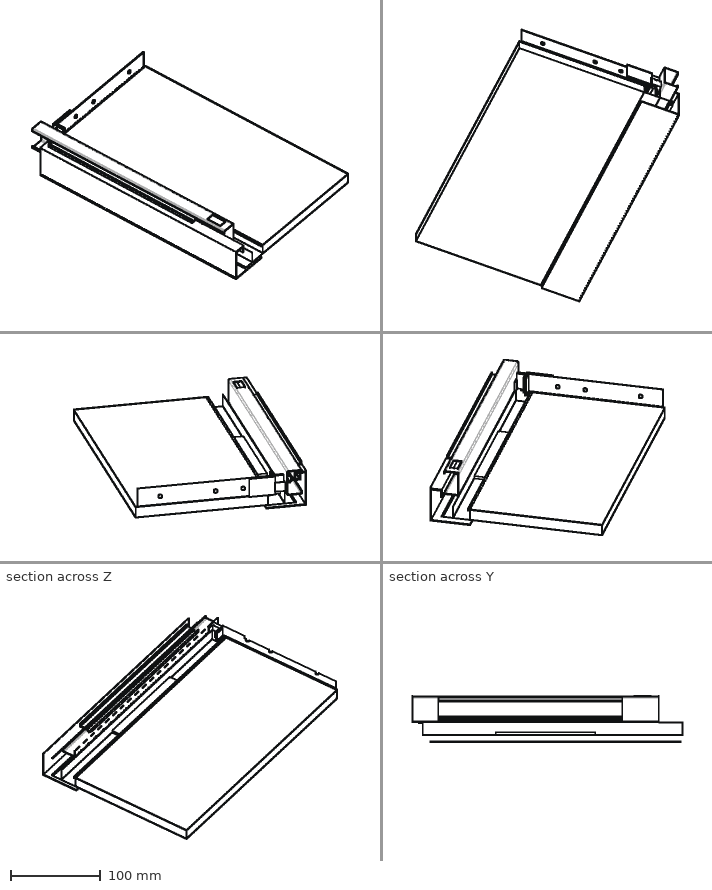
import cadquery as cq

OVERALL_X = 301.5
OVERALL_Y = 198.5
OVERALL_Z = 51.7

RAIL_LENGTH = 275.0
RAIL_WALL = 1.2
RAIL_CORNER = 2.0
RAIL_BACK = 27.2
RAIL_FRONT = 9.6
RAIL_BOTTOM = 22.2
RAIL_LIP = 3.6
RAIL_WINDOW_X = 247.5
RAIL_WINDOW_LENGTH = 18.5
RAIL_WINDOW_BACK = 23.6
RAIL_WINDOW_FRONT = 14.2

MIDDLE_START = 28.9
MIDDLE_LENGTH = 205.5
MIDDLE_WEB = 1.2
MIDDLE_FLANGE = 1.8
MIDDLE_BACK = 21.3
MIDDLE_TOP = 47.2
MIDDLE_BOTTOM = 27.2
MIDDLE_UPPER_FRONT = 3.2
MIDDLE_LOWER_FRONT = 4.3
MIDDLE_UPPER_LIP_TOP = 49.4
MIDDLE_LOWER_LIP_TOP = 35.8
UPPER_LIP_WALL = 1.2
GROOVE_RISE = 2.6
GROOVE_CREST_Y = 17.0
GROOVE_HALF_WIDTH = 2.6

PROFILE_START = 19.6
PROFILE_LENGTH = 280.0
PROFILE_WALL = 1.3
PROFILE_TOP_WALL = 1.9
PROFILE_HEIGHT = 41.0
PROFILE_TOP_DEPTH = 13.8
PROFILE_HOOK_BOTTOM = 31.3
PROFILE_FOOT_DEPTH = 46.0

SHEET = 0.4
TRAY_LEFT = 11.3
TRAY_BOTTOM = 7.6
TRAY_WALL_FRONT = 46.0
TRAY_LIP_Y = 13.6
HEM_WIDTH = 2.1
HEM_RISE = 0.15
PAD_START = 93.2
PAD_END = 204.2
PAD_TOP = 11.0
COVER_TOP = 21.2
COVER_THICK = 1.0
COVER_FRONT = 43.9
COVER_LIP_DROP = 2.1

BRACKET_X = 10.2
BRACKET_WALL = 1.2
BRACKET_TOP = 43.0
BRACKET_BACK = 196.2
BRACKET_FRONT = 39.7
BRACKET_FLANGE_END = 22.3
BRACKET_FLANGE_WALL = 2.0
HOLE_DIAMETER = 4.4
HOLE_Z = 31.0
HOLE_YS = (74.9, 106.5, 170.3)

CLIP_X = 7.2
CLIP_WALL = 1.2
CLIP_BACK = 68.7
CLIP_FRONT = 38.6
LATCH_BACK = 39.4
LATCH_CORE_X = 9.8
LATCH_CORE_END = 13.7
LATCH_CORE_FRONT = 28.4
LATCH_STEP_Z = 35.0
LATCH_BOTTOM = 24.3
LATCH_FOOT_FRONT = 32.4
LATCH_FOOT_START = 9.0
LATCH_FOOT_END = 11.3
LATCH_ARM_END = 21.7
LATCH_ARM_WALL = 1.4
LATCH_TONGUE_END = 19.6
LATCH_TONGUE_WALL = 2.0


def block(x0, x1, y0, y1, z0, z1):
    """Axis-aligned block between two opposite corners."""
    return cq.Workplane("XY").box(x1 - x0, y1 - y0, z1 - z0, centered=False).translate((x0, y0, z0))


def extrude_section(points, start, length):
    """Closed (Y, Z) outline extruded along X."""
    return cq.Workplane("YZ", origin=(start, 0, 0)).polyline(points).close().extrude(length)


def make_outer_rail():
    inner_radius = RAIL_CORNER - RAIL_WALL
    middle_z = (OVERALL_Z + RAIL_BOTTOM) / 2
    tube = block(0, RAIL_LENGTH, RAIL_FRONT, RAIL_BACK, RAIL_BOTTOM, OVERALL_Z).edges("|X").fillet(RAIL_CORNER)
    bore = block(
        0, RAIL_LENGTH,
        RAIL_FRONT + RAIL_WALL, RAIL_BACK - RAIL_WALL,
        RAIL_BOTTOM + RAIL_WALL, OVERALL_Z - RAIL_WALL,
    ).edges("|X").fillet(inner_radius)
    mouth = block(
        0, RAIL_LENGTH,
        RAIL_FRONT, RAIL_FRONT + RAIL_WALL,
        RAIL_BOTTOM + RAIL_LIP, OVERALL_Z - RAIL_LIP,
    )
    window = block(
        RAIL_WINDOW_X, RAIL_WINDOW_X + RAIL_WINDOW_LENGTH,
        RAIL_WINDOW_FRONT, RAIL_WINDOW_BACK,
        middle_z, OVERALL_Z,
    )
    return tube.cut(bore).cut(mouth).cut(window)


def make_middle_rail():
    web_front = MIDDLE_BACK - MIDDLE_WEB
    groove_front = GROOVE_CREST_Y - GROOVE_HALF_WIDTH
    groove_back = GROOVE_CREST_Y + GROOVE_HALF_WIDTH
    upper_underside = MIDDLE_TOP - MIDDLE_FLANGE
    lower_upside = MIDDLE_BOTTOM + MIDDLE_FLANGE
    back_chamfer = MIDDLE_BACK - groove_back
    section = [
        (MIDDLE_UPPER_FRONT, MIDDLE_UPPER_LIP_TOP),
        (MIDDLE_UPPER_FRONT + UPPER_LIP_WALL, MIDDLE_UPPER_LIP_TOP),
        (MIDDLE_UPPER_FRONT + UPPER_LIP_WALL, MIDDLE_TOP),
        (groove_front, MIDDLE_TOP),
        (GROOVE_CREST_Y, MIDDLE_TOP + GROOVE_RISE),
        (groove_back, MIDDLE_TOP),
        (MIDDLE_BACK, MIDDLE_TOP - back_chamfer),
        (MIDDLE_BACK, MIDDLE_BOTTOM + back_chamfer),
        (groove_back, MIDDLE_BOTTOM),
        (GROOVE_CREST_Y, MIDDLE_BOTTOM - GROOVE_RISE),
        (groove_front, MIDDLE_BOTTOM),
        (MIDDLE_LOWER_FRONT, MIDDLE_BOTTOM),
        (MIDDLE_LOWER_FRONT, MIDDLE_LOWER_LIP_TOP),
        (MIDDLE_LOWER_FRONT + MIDDLE_FLANGE, MIDDLE_LOWER_LIP_TOP),
        (MIDDLE_LOWER_FRONT + MIDDLE_FLANGE, lower_upside),
        (groove_front, lower_upside),
        (GROOVE_CREST_Y, lower_upside - GROOVE_RISE),
        (web_front, lower_upside),
        (web_front, upper_underside),
        (GROOVE_CREST_Y, upper_underside + GROOVE_RISE),
        (groove_front, upper_underside),
        (MIDDLE_UPPER_FRONT, upper_underside),
    ]
    return extrude_section(section, MIDDLE_START, MIDDLE_LENGTH)


def make_front_profile():
    top_underside = PROFILE_HEIGHT - PROFILE_TOP_WALL
    hook_front = PROFILE_TOP_DEPTH - PROFILE_WALL
    section = [
        (0, 0),
        (PROFILE_FOOT_DEPTH, 0),
        (PROFILE_FOOT_DEPTH, PROFILE_WALL),
        (PROFILE_WALL, PROFILE_WALL),
        (PROFILE_WALL, top_underside),
        (hook_front, top_underside),
        (hook_front, PROFILE_HOOK_BOTTOM),
        (PROFILE_TOP_DEPTH, PROFILE_HOOK_BOTTOM),
        (PROFILE_TOP_DEPTH, PROFILE_HEIGHT),
        (0, PROFILE_HEIGHT),
    ]
    return extrude_section(section, PROFILE_START, PROFILE_LENGTH)


def make_tray():
    floor_top = TRAY_BOTTOM + SHEET
    wall_top = COVER_TOP - COVER_THICK
    floor = block(TRAY_LEFT, OVERALL_X, TRAY_LIP_Y, OVERALL_Y, TRAY_BOTTOM, floor_top)
    walls = block(TRAY_LEFT, OVERALL_X, TRAY_WALL_FRONT, OVERALL_Y, TRAY_BOTTOM, wall_top).cut(
        block(
            TRAY_LEFT + SHEET, OVERALL_X - SHEET,
            TRAY_WALL_FRONT + SHEET, OVERALL_Y - SHEET,
            TRAY_BOTTOM, wall_top,
        )
    )
    front_wall = block(TRAY_LEFT, OVERALL_X, RAIL_BACK - SHEET, RAIL_BACK, TRAY_BOTTOM, RAIL_BOTTOM)
    hem = block(TRAY_LEFT, OVERALL_X, TRAY_LIP_Y, TRAY_LIP_Y + HEM_WIDTH, TRAY_BOTTOM, floor_top + HEM_RISE)
    pad = block(PAD_START, PAD_END, RAIL_BACK, COVER_FRONT, TRAY_BOTTOM, PAD_TOP)
    return floor.union(walls).union(front_wall).union(hem).union(pad)


def make_cover():
    panel = block(TRAY_LEFT, OVERALL_X, COVER_FRONT, OVERALL_Y, COVER_TOP - COVER_THICK, COVER_TOP)
    lip = block(TRAY_LEFT, OVERALL_X, COVER_FRONT, COVER_FRONT + SHEET, COVER_TOP - COVER_LIP_DROP, COVER_TOP)
    return panel.union(lip)


def make_side_bracket():
    plate_end = BRACKET_X + BRACKET_WALL
    plate = block(BRACKET_X, plate_end, BRACKET_FRONT, BRACKET_BACK, COVER_TOP, BRACKET_TOP)
    flange = block(
        BRACKET_X, BRACKET_FLANGE_END,
        BRACKET_FRONT, BRACKET_FRONT + BRACKET_FLANGE_WALL,
        COVER_TOP, BRACKET_TOP,
    )
    holes = (
        cq.Workplane("YZ", origin=(BRACKET_X, 0, 0))
        .pushPoints([(y, HOLE_Z) for y in HOLE_YS])
        .circle(HOLE_DIAMETER / 2)
        .extrude(BRACKET_WALL)
    )
    return plate.union(flange).cut(holes)


def make_clip():
    return block(CLIP_X, CLIP_X + CLIP_WALL, CLIP_FRONT, CLIP_BACK, COVER_TOP, BRACKET_TOP)


def make_latch():
    outer_x = CLIP_X + CLIP_WALL
    core = block(LATCH_CORE_X, LATCH_CORE_END, LATCH_CORE_FRONT, LATCH_BACK, LATCH_BOTTOM, BRACKET_TOP)
    cheek = block(outer_x, LATCH_CORE_X, RAIL_BACK, LATCH_BACK, LATCH_BOTTOM, LATCH_STEP_Z)
    foot = block(LATCH_FOOT_START, LATCH_FOOT_END, LATCH_FOOT_FRONT, LATCH_BACK, COVER_TOP, LATCH_BOTTOM)
    arm = block(
        LATCH_CORE_X, LATCH_ARM_END,
        LATCH_BACK - LATCH_ARM_WALL, LATCH_BACK,
        LATCH_BOTTOM, BRACKET_TOP,
    )
    tongue = block(
        LATCH_CORE_X, LATCH_TONGUE_END,
        RAIL_BACK, RAIL_BACK + LATCH_TONGUE_WALL,
        LATCH_BOTTOM, LATCH_STEP_Z,
    )
    return core.union(cheek).union(foot).union(arm).union(tongue)


outer_rail = make_outer_rail()
middle_rail = make_middle_rail()
front_profile = make_front_profile()
tray = make_tray()
cover = make_cover()
side_bracket = make_side_bracket()
clip = make_clip()
latch = make_latch()

result = cq.Compound.makeCompound(
    [
        outer_rail.val(),
        middle_rail.val(),
        front_profile.val(),
        tray.val(),
        cover.val(),
        side_bracket.val(),
        clip.val(),
        latch.val(),
    ]
)